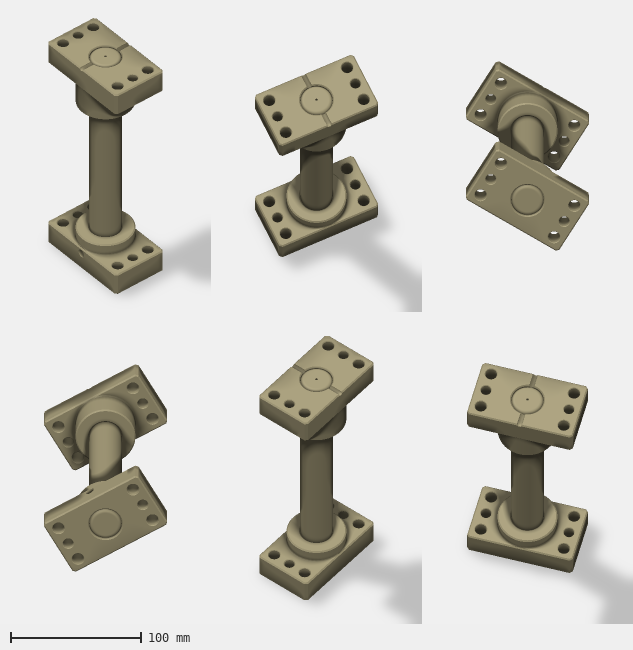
import cadquery as cq

total_height = 200.0
block_length = 84.0
block_width = 48.0
block_height = 20.0
corner_chamfer = 2.0
edge_chamfer = 1.0

collar_radius = 23.0
lower_collar_height = 10.0
upper_collar_height = 25.0
collar_chamfer = 1.0
root_fillet = 1.0

pillar_diameter = 25.0
pillar_radius = pillar_diameter / 2
pillar_end_fillet = 3.0
bore_chamfer = 1.0
center_hole_diameter = 2.0
center_hole_depth = 2.0

hole_row_x = 33.0
screw_hole_y = 15.0
screw_hole_diameter = 9.0
dowel_hole_diameter = 8.0
hole_chamfer = 0.5

oil_groove_radius = 2.0
oil_port_radius = 3.5
oil_port_drop = 5.0


def collar(height):
    """Collar standing on top of a block, flared at its root and cut back to the block's flat top."""
    foot_radius = collar_radius + root_fillet
    top = block_height + height
    body = (
        cq.Workplane("XZ")
        .moveTo(0, block_height)
        .lineTo(foot_radius, block_height)
        .radiusArc((collar_radius, block_height + root_fillet), root_fillet)
        .lineTo(collar_radius, top - collar_chamfer)
        .lineTo(collar_radius - collar_chamfer, top)
        .lineTo(0, top)
        .close()
        .revolve(360, (0, 0), (0, 1))
    )
    flat_width = block_width - 2 * edge_chamfer
    envelope = cq.Workplane("XY").box(block_length, flat_width, top, centered=(True, True, False))
    return body.intersect(envelope)


def through_hole(x, y, radius, height, chamfer):
    """Cutter for a vertical through hole with both rims chamfered."""
    return (
        cq.Workplane("XZ")
        .lineTo(radius + chamfer, 0)
        .lineTo(radius, chamfer)
        .lineTo(radius, height - chamfer)
        .lineTo(radius + chamfer, height)
        .lineTo(0, height)
        .close()
        .revolve(360, (0, 0), (0, 1))
        .translate((x, y, 0))
    )


def flanged_block(collar_height):
    """Block resting on Z = 0 with its collar on top, bored for the pillar and drilled for mounting."""
    body = (
        cq.Workplane("XY")
        .box(block_length, block_width, block_height, centered=(True, True, False))
        .edges("|Z")
        .chamfer(corner_chamfer)
        .faces("<Z or >Z")
        .chamfer(edge_chamfer)
        .union(collar(collar_height))
        .cut(through_hole(0, 0, pillar_radius, block_height + collar_height, bore_chamfer))
    )
    for x in (-hole_row_x, hole_row_x):
        body = body.cut(through_hole(x, 0, dowel_hole_diameter / 2, block_height, hole_chamfer))
        for y in (-screw_hole_y, screw_hole_y):
            body = body.cut(through_hole(x, y, screw_hole_diameter / 2, block_height, hole_chamfer))
    return body


def make_lower_block():
    """Lower block with an oil port from its front side into the bore."""
    port = (
        cq.Workplane("XZ", origin=(0, 0, block_height - oil_port_drop))
        .circle(oil_port_radius)
        .extrude(block_width / 2)
    )
    return flanged_block(lower_collar_height).cut(port)


def make_upper_block():
    """Upper block, turned over so its collar points down, with an oil groove across its top."""
    groove = (
        cq.Workplane("XZ", origin=(0, 0, total_height))
        .moveTo(-oil_groove_radius, oil_groove_radius)
        .line(0, -oil_groove_radius)
        .threePointArc((0, -oil_groove_radius), (oil_groove_radius, 0))
        .line(0, oil_groove_radius)
        .close()
        .extrude(block_width / 2, both=True)
    )
    turned = flanged_block(upper_collar_height).rotate((0, 0, 0), (1, 0, 0), 180)
    return turned.translate((0, 0, total_height)).cut(groove)


def make_pillar():
    """Full-height round pillar with rounded ends and a small center hole in its top."""
    return (
        cq.Workplane("XY")
        .circle(pillar_radius)
        .extrude(total_height)
        .edges("%CIRCLE")
        .fillet(pillar_end_fillet)
        .faces(">Z")
        .workplane()
        .hole(center_hole_diameter, center_hole_depth)
    )


lower_block = make_lower_block()
upper_block = make_upper_block()
pillar = make_pillar()

bodies = [lower_block, upper_block, pillar]
result = cq.Compound.makeCompound([body.solids().val() for body in bodies])